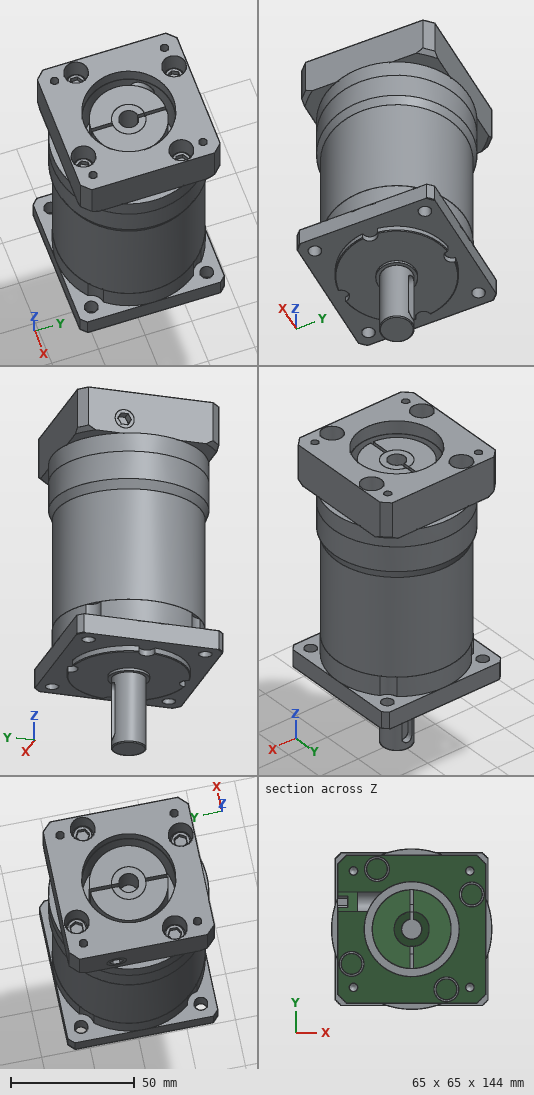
import cadquery as cq
import math


SHAFT_END_Z = -34.7
COLLAR_END_Z = -3.7
PILOT_END_Z = -2.6
FLANGE_TOP_Z = 8.4
NECK_TOP_Z = 17.9
CONE_BOTTOM_Z = 66.7
CONE_TOP_Z = 70.5
RIM_TOP_Z = 82.7
ADAPTER_RING_TOP_Z = 90.7
TOTAL_HEIGHT = 144.0
TOP_Z = SHAFT_END_Z + TOTAL_HEIGHT

RIM_DIAMETER = 65.0
TUBE_DIAMETER = 61.8
NECK_DIAMETER = 61.9
FLANGE_WIDTH = 61.9
FLANGE_CORNER_DIAMETER = 84.2
FLANGE_CORNER_BEVEL = 0.3
FLANGE_HOLE_CIRCLE = 70.0
FLANGE_HOLE_DIAMETER = 5.5
SCREW_CLEARANCE_DIAMETER = 11.0
PILOT_DIAMETER = 50.0
PILOT_NOTCH_DIAMETER = 6.6
PILOT_CHAMFER = 0.36

COLLAR_DIAMETER = 17.0
SHAFT_DIAMETER = 14.1
SHAFT_CHAMFER = 0.5
KEYWAY_WIDTH = 5.0
KEYWAY_DEPTH = 3.0
KEYWAY_LENGTH = 25.0
KEYWAY_END_GAP = 3.3

HUB_TOP_Z = TOP_Z - 6.0
HUB_DIAMETER = 32.0
SLEEVE_DIAMETER = 20.2
SLOT_WIDTH = 1.3
HUB_SLOT_DEPTH = 15.8
SLEEVE_SLOT_DEPTH = 10.1
BUSHING_DIAMETER = 14.0
BUSHING_BORE = 8.0
BUSHING_LENGTH = 14.4

ADAPTER_WIDTH = 59.9
ADAPTER_CORNER_CHAMFER = 3.6
CORNER_CONE_BOTTOM_RADIUS = 38.0
CORNER_CONE_TOP_RADIUS = 40.3
CORNER_CONE_HEIGHT = 2.2
MOTOR_PILOT_DIAMETER = 38.0
MOTOR_PILOT_DEPTH = 6.3
CAVITY_DIAMETER = 38.3
MOTOR_HOLE_PITCH = 47.1
MOTOR_HOLE_DIAMETER = 3.3
MOTOR_HOLE_DEPTH = 11.5
DRILL_POINT_ANGLE = 118.0

SCREW_CIRCLE_RADIUS = 28.1
SCREW_START_ANGLE = 30.0
SCREW_COUNT = 4
COUNTERBORE_DIAMETER = 10.0
COUNTERBORE_DEPTH = 13.0
SCREW_HEAD_DIAMETER = 8.5
SCREW_HEAD_HEIGHT = 5.0
SCREW_HEAD_CHAMFER = 0.6
SCREW_HEX_FLATS = 4.9
SCREW_HEX_DEPTH = 2.5

PLUG_DIAMETER = 8.0
PLUG_LENGTH = 8.0
PLUG_HEX_FLATS = 4.9
PLUG_HEX_DEPTH = 4.0
PLUG_Y = 11.1
PLUG_Z = TOP_Z - 12.1


def cylinder(diameter, bottom_z, top_z, x=0.0, y=0.0):
    """Upright cylinder between two heights."""
    base = cq.Workplane("XY", origin=(x, y, bottom_z))
    return base.circle(diameter / 2).extrude(top_z - bottom_z)


def square_plate(width, bottom_z, top_z):
    """Square plate on the axis."""
    return cq.Workplane("XY", origin=(0, 0, bottom_z)).rect(width, width).extrude(top_z - bottom_z)


def slot_across(bottom_z, top_z, y_start, y_end):
    """Narrow upright slot in the YZ plane."""
    box = cq.Workplane("XY", origin=(0, (y_start + y_end) / 2, bottom_z))
    return box.rect(SLOT_WIDTH, y_end - y_start).extrude(top_z - bottom_z)


def polar_points(radius, start_angle, count=4):
    """Points evenly spread on a circle about the axis."""
    angles = [math.radians(start_angle + 360 * i / count) for i in range(count)]
    return [(radius * math.cos(a), radius * math.sin(a)) for a in angles]


def across_corners(flats):
    """Corner-to-corner size of a hexagon given across its flats."""
    return flats / math.cos(math.radians(30))


def make_flange():
    """Square mounting flange with its corners turned round and bevelled below."""
    turned = cylinder(FLANGE_CORNER_DIAMETER, 0, FLANGE_TOP_Z).faces("<Z").chamfer(FLANGE_CORNER_BEVEL)
    return square_plate(FLANGE_WIDTH, 0, FLANGE_TOP_Z).intersect(turned)


def make_housing():
    """Flange, notched neck, tube and rim of the gearbox."""
    profile = [
        (0, FLANGE_TOP_Z),
        (NECK_DIAMETER / 2, FLANGE_TOP_Z),
        (NECK_DIAMETER / 2, NECK_TOP_Z),
        (TUBE_DIAMETER / 2, NECK_TOP_Z),
        (TUBE_DIAMETER / 2, CONE_BOTTOM_Z),
        (RIM_DIAMETER / 2, CONE_TOP_Z),
        (RIM_DIAMETER / 2, RIM_TOP_Z),
        (0, RIM_TOP_Z),
    ]
    housing = cq.Workplane("XZ").polyline(profile).close().revolve(360, (0, 0, 0), (0, 1, 0))
    housing = housing.union(make_flange())
    for x, y in polar_points(FLANGE_HOLE_CIRCLE / 2, 45):
        housing = housing.cut(cylinder(FLANGE_HOLE_DIAMETER, 0, FLANGE_TOP_Z, x, y))
        housing = housing.cut(cylinder(SCREW_CLEARANCE_DIAMETER, FLANGE_TOP_Z, NECK_TOP_Z, x, y))
    return housing


def make_pilot():
    """Centring pilot below the flange, with a round notch on each side."""
    pilot = cylinder(PILOT_DIAMETER, PILOT_END_Z, 0).faces("<Z").chamfer(PILOT_CHAMFER)
    for x, y in polar_points(PILOT_DIAMETER / 2, 0):
        pilot = pilot.cut(cylinder(PILOT_NOTCH_DIAMETER, PILOT_END_Z, 0, x, y))
    return pilot


def make_output_shaft():
    """Keyed shaft and its collar, below the pilot."""
    shaft = cylinder(SHAFT_DIAMETER, SHAFT_END_Z, COLLAR_END_Z).faces("<Z").chamfer(SHAFT_CHAMFER)
    keyway_middle_z = SHAFT_END_Z + KEYWAY_END_GAP + KEYWAY_LENGTH / 2
    keyway = (
        cq.Workplane("XZ", origin=(0, SHAFT_DIAMETER / 2, keyway_middle_z))
        .slot2D(KEYWAY_LENGTH, KEYWAY_WIDTH, 90)
        .extrude(KEYWAY_DEPTH)
    )
    return shaft.cut(keyway).union(cylinder(COLLAR_DIAMETER, COLLAR_END_Z, PILOT_END_Z))


def make_clamping_hub():
    """Slotted input hub whose socket takes the bushing."""
    hub = cylinder(HUB_DIAMETER, RIM_TOP_Z, HUB_TOP_Z)
    hub = hub.cut(cylinder(BUSHING_DIAMETER, HUB_TOP_Z - BUSHING_LENGTH, HUB_TOP_Z))
    hub_radius = HUB_DIAMETER / 2
    hub = hub.cut(slot_across(HUB_TOP_Z - SLEEVE_SLOT_DEPTH, HUB_TOP_Z, -hub_radius, hub_radius))
    outer_slot = slot_across(HUB_TOP_Z - HUB_SLOT_DEPTH, HUB_TOP_Z, -hub_radius, hub_radius)
    sleeve = cylinder(SLEEVE_DIAMETER, RIM_TOP_Z, HUB_TOP_Z)
    return hub.cut(outer_slot.cut(sleeve))


def make_gearbox():
    """Housing, pilot, output shaft and input hub as one body."""
    return make_housing().union(make_pilot()).union(make_output_shaft()).union(make_clamping_hub())


def make_bushing():
    """Split reducing sleeve, flush with the top of the hub."""
    bottom_z = HUB_TOP_Z - BUSHING_LENGTH
    bushing = cylinder(BUSHING_DIAMETER, bottom_z, HUB_TOP_Z)
    bushing = bushing.cut(cylinder(BUSHING_BORE, bottom_z, HUB_TOP_Z))
    return bushing.cut(slot_across(bottom_z, HUB_TOP_Z, 0, BUSHING_DIAMETER / 2))


def make_adapter_block():
    """Square block, its bottom corners turned to a cone, on a round ring."""
    block = square_plate(ADAPTER_WIDTH, ADAPTER_RING_TOP_Z, TOP_Z).edges("|Z").chamfer(ADAPTER_CORNER_CHAMFER)
    turned_profile = [
        (0, ADAPTER_RING_TOP_Z),
        (CORNER_CONE_BOTTOM_RADIUS, ADAPTER_RING_TOP_Z),
        (CORNER_CONE_TOP_RADIUS, ADAPTER_RING_TOP_Z + CORNER_CONE_HEIGHT),
        (CORNER_CONE_TOP_RADIUS, TOP_Z),
        (0, TOP_Z),
    ]
    turned = cq.Workplane("XZ").polyline(turned_profile).close().revolve(360, (0, 0, 0), (0, 1, 0))
    return block.intersect(turned).union(cylinder(RIM_DIAMETER, RIM_TOP_Z, ADAPTER_RING_TOP_Z))


def make_motor_hole(x, y):
    """Blind drilled hole with a conical bottom."""
    radius = MOTOR_HOLE_DIAMETER / 2
    point_depth = radius / math.tan(math.radians(DRILL_POINT_ANGLE / 2))
    profile = [
        (0, 0),
        (radius, 0),
        (radius, -MOTOR_HOLE_DEPTH),
        (0, -MOTOR_HOLE_DEPTH - point_depth),
    ]
    hole = cq.Workplane("XZ").polyline(profile).close().revolve(360, (0, 0, 0), (0, 1, 0))
    return hole.translate((x, y, TOP_Z))


def make_screw_head(x, y, angle):
    """Socket head standing on the floor of a counterbore."""
    floor_z = TOP_Z - COUNTERBORE_DEPTH
    head_top_z = floor_z + SCREW_HEAD_HEIGHT
    head = cylinder(SCREW_HEAD_DIAMETER, floor_z, head_top_z).faces(">Z").chamfer(SCREW_HEAD_CHAMFER)
    socket = (
        cq.Workplane("XY", origin=(0, 0, head_top_z))
        .polygon(6, across_corners(SCREW_HEX_FLATS))
        .extrude(-SCREW_HEX_DEPTH)
    )
    return head.cut(socket).rotate((0, 0, 0), (0, 0, 1), angle).translate((x, y, 0))


def plug_cylinder(length):
    """Cylinder running inwards from the -X side of the adapter."""
    face = cq.Workplane("YZ", origin=(-ADAPTER_WIDTH / 2, PLUG_Y, PLUG_Z))
    return face.circle(PLUG_DIAMETER / 2).extrude(length)


def make_adapter():
    """Motor adapter with its bore, motor holes, sunk screws and access hole."""
    adapter = make_adapter_block()
    pilot_floor_z = TOP_Z - MOTOR_PILOT_DEPTH
    adapter = adapter.cut(cylinder(MOTOR_PILOT_DIAMETER, pilot_floor_z, TOP_Z))
    adapter = adapter.cut(cylinder(CAVITY_DIAMETER, RIM_TOP_Z, pilot_floor_z))
    for x, y in polar_points(MOTOR_HOLE_PITCH / math.sqrt(2), 45):
        adapter = adapter.cut(make_motor_hole(x, y))
    for i, (x, y) in enumerate(polar_points(SCREW_CIRCLE_RADIUS, SCREW_START_ANGLE, SCREW_COUNT)):
        adapter = adapter.cut(cylinder(COUNTERBORE_DIAMETER, TOP_Z - COUNTERBORE_DEPTH, TOP_Z, x, y))
        adapter = adapter.union(make_screw_head(x, y, SCREW_START_ANGLE + 360 / SCREW_COUNT * i))
    return adapter.cut(plug_cylinder(ADAPTER_WIDTH / 2))


def make_plug():
    """Round plug with a hexagon socket, flush with the side of the adapter."""
    socket = (
        cq.Workplane("YZ", origin=(-ADAPTER_WIDTH / 2, PLUG_Y, PLUG_Z))
        .polygon(6, across_corners(PLUG_HEX_FLATS))
        .extrude(PLUG_HEX_DEPTH)
    )
    return plug_cylinder(PLUG_LENGTH).cut(socket)


gearbox = make_gearbox()
adapter = make_adapter()
bushing = make_bushing()
plug = make_plug()

result = cq.Compound.makeCompound([gearbox.val(), adapter.val(), bushing.val(), plug.val()])